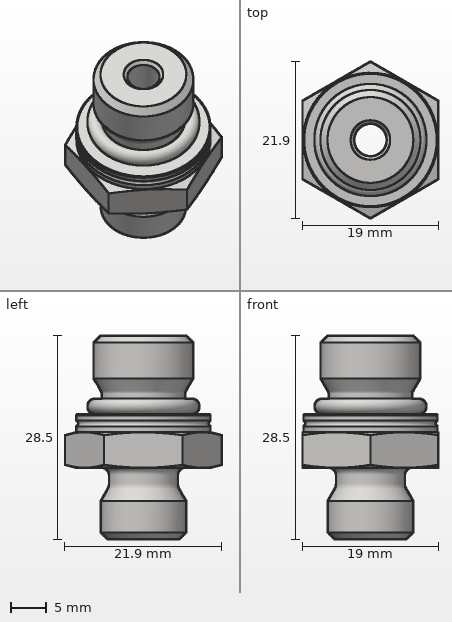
import cadquery as cq
import math

total_height = 28.5
hex_bottom = 10.0
hex_height = 5.0
collar_height = 2.5
hex_top = hex_bottom + hex_height
collar_top = hex_top + collar_height

hex_across_flats = 19.0
hex_corner_diameter = hex_across_flats / math.cos(math.radians(30))
hex_chamfer_angle = 15.0

collar_diameter = 18.8
collar_chamfer = 0.15
collar_groove_width = 0.8
collar_groove_depth = 0.25
collar_groove_center = hex_top + 1.23

end_chamfer = 1.0
undercut_cone_angle = 30.0
upper_diameter = 14.0
upper_neck_diameter = 11.7
upper_thread_bottom = 22.52
upper_neck_fillet = 0.5
lower_diameter = 12.0
lower_neck_diameter = 9.7
lower_thread_top = 5.4
lower_neck_fillet = 1.0
hex_root_fillet = 1.0

bore_diameter = 4.5
bore_chamfer = 0.5

ring_section_diameter = 2.2
ring_outer_diameter = 15.7
ring_center_radius = (ring_outer_diameter - ring_section_diameter) / 2
ring_center_z = collar_top + ring_section_diameter / 2


def cylinder(diameter, bottom, top):
    return cq.Workplane("XY").workplane(offset=bottom).circle(diameter / 2).extrude(top - bottom)


def revolve_profile(profile):
    """Turn a closed radius-height outline a full revolution about Z."""
    return profile.close().revolve(360, (0, 0, 0), (0, 1, 0))


def make_end(thread_diameter, neck_diameter, end_z, thread_inner_z, root_z, neck_fillet):
    """Chamfered thread blank, undercut cone and neck, running from end_z to root_z."""
    inward = math.copysign(1, root_z - end_z)
    thread_radius = thread_diameter / 2
    neck_radius = neck_diameter / 2
    cone_height = (thread_radius - neck_radius) / math.tan(math.radians(undercut_cone_angle))
    cone_end_z = thread_inner_z + inward * cone_height
    end = revolve_profile(
        cq.Workplane("XZ")
        .moveTo(0, end_z)
        .lineTo(thread_radius - end_chamfer, end_z)
        .lineTo(thread_radius, end_z + inward * end_chamfer)
        .lineTo(thread_radius, thread_inner_z)
        .lineTo(neck_radius, cone_end_z)
        .lineTo(neck_radius, root_z)
        .lineTo(0, root_z)
    )
    cone_foot = cq.selectors.NearestToPointSelector((0, 0, cone_end_z))
    return end.edges(cone_foot).fillet(neck_fillet)


def make_hexagon():
    """Hexagon with flats facing +X and -X, its corners turned down at both faces."""
    prism = (
        cq.Workplane("XY").workplane(offset=hex_bottom)
        .polygon(6, hex_corner_diameter).extrude(hex_height)
        .rotate((0, 0, 0), (0, 0, 1), 30)
    )
    face_radius = collar_diameter / 2
    corner_radius = hex_corner_diameter / 2
    drop = (corner_radius - face_radius) * math.tan(math.radians(hex_chamfer_angle))
    turned_envelope = revolve_profile(
        cq.Workplane("XZ")
        .moveTo(0, hex_bottom)
        .lineTo(face_radius, hex_bottom)
        .lineTo(corner_radius, hex_bottom + drop)
        .lineTo(corner_radius, hex_top - drop)
        .lineTo(face_radius, hex_top)
        .lineTo(0, hex_top)
    )
    return prism.intersect(turned_envelope)


def make_collar():
    """Disc above the hexagon with a shallow round groove in its rim."""
    collar_radius = collar_diameter / 2
    half_width = collar_groove_width / 2
    return revolve_profile(
        cq.Workplane("XZ")
        .moveTo(0, hex_top)
        .lineTo(collar_radius, hex_top)
        .lineTo(collar_radius, collar_groove_center - half_width)
        .threePointArc(
            (collar_radius - collar_groove_depth, collar_groove_center),
            (collar_radius, collar_groove_center + half_width),
        )
        .lineTo(collar_radius, collar_top - collar_chamfer)
        .lineTo(collar_radius - collar_chamfer, collar_top)
        .lineTo(0, collar_top)
    )


def make_root_flare():
    """Concave fillet joining the lower neck to the underside of the hexagon."""
    neck_radius = lower_neck_diameter / 2
    flare_radius = neck_radius + hex_root_fillet
    flare_bottom = hex_bottom - hex_root_fillet
    arc_offset = hex_root_fillet * math.sqrt(0.5)
    return revolve_profile(
        cq.Workplane("XZ")
        .moveTo(0, flare_bottom)
        .lineTo(neck_radius, flare_bottom)
        .threePointArc(
            (flare_radius - arc_offset, flare_bottom + arc_offset),
            (flare_radius, hex_bottom),
        )
        .lineTo(0, hex_bottom)
    )


def make_o_ring():
    return (
        cq.Workplane("XZ")
        .center(ring_center_radius, ring_center_z)
        .circle(ring_section_diameter / 2)
        .revolve(360, (-ring_center_radius, 0, 0), (-ring_center_radius, 1, 0))
    )


def make_fitting(seated_ring):
    upper_end = make_end(
        upper_diameter, upper_neck_diameter, total_height, upper_thread_bottom,
        collar_top, upper_neck_fillet,
    )
    lower_end = make_end(
        lower_diameter, lower_neck_diameter, 0, lower_thread_top,
        hex_bottom - hex_root_fillet, lower_neck_fillet,
    )
    body = lower_end.union(make_root_flare()).union(make_hexagon()).union(make_collar()).union(upper_end)

    body = body.cut(cylinder(bore_diameter, 0, total_height))
    bore_rim = cq.selectors.RadiusNthSelector(0)
    body = body.faces(">Z").edges(bore_rim).chamfer(bore_chamfer)

    return body.cut(seated_ring)


o_ring = make_o_ring()
fitting = make_fitting(o_ring)

result = cq.Compound.makeCompound([fitting.solids().val(), o_ring.val()])